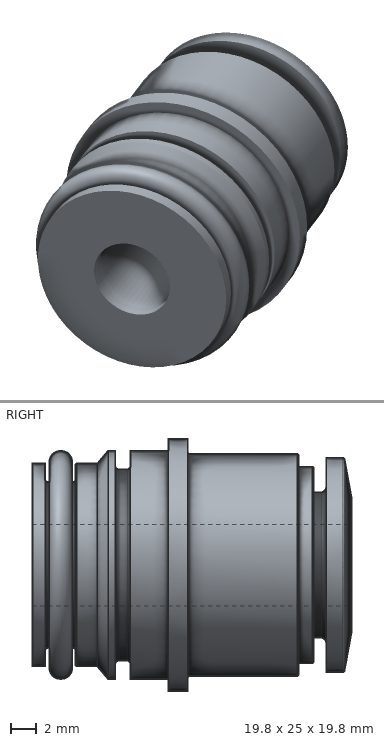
import cadquery as cq

LENGTH = 25.0
EDGE_BREAK = 0.1

BORE_DIA = 6.4
NOSE_DIA = 15.9
SEAL_GROOVE_DIA = 13.0
COLLAR_DIA = 17.9
COLLAR_GROOVE_DIA = 15.0
FLANGE_DIA = 19.75
BODY_DIA = 17.4
SHOULDER_DIA = 15.4
NECK_DIA = 11.4
CAP_DIA = 16.8
CAP_FACE_DIA = 10.5

SEAL_GROOVE_START = 1.0
SEAL_GROOVE_END = 3.38
NOSE_END = 5.1
CONE_END = 5.95
COLLAR_GROOVE_START = 6.5
COLLAR_GROOVE_END = 7.68
FLANGE_START = 10.65
FLANGE_END = 12.18
BODY_END = 20.85
SHOULDER_END = 22.02
CAP_START = 23.0
CAP_RIM_END = 24.42

SEAL_GROOVE_FILLET = 0.2
COLLAR_GROOVE_FILLET = 0.25
BODY_ROOT_FILLET = 0.1
NECK_FILLET = 0.4
CAP_RIM_FILLET = 0.2

O_RING_OUTER_DIA = 17.88
O_RING_WIDTH = 1.8
O_RING_Y = 2.22


def cylinder(dia, start, end):
    """Solid cylinder along Y between two positions."""
    return cq.Workplane("XZ", origin=(0, start, 0)).circle(dia / 2).extrude(start - end)


def cone(start_dia, end_dia, start, end):
    """Solid truncated cone along Y between two positions."""
    outline = [(0, start), (start_dia / 2, start), (end_dia / 2, end), (0, end)]
    return cq.Workplane("XY").polyline(outline).close().revolve(360, (0, 0), (0, 1))


def filleted_core(dia, start, end, radius, fillet_start=True, fillet_end=True):
    """Cylindrical core whose chosen ends flare out with concave fillets."""
    core = dia / 2
    flare = core + radius
    bend = radius * 0.5 ** 0.5
    outline = cq.Workplane("XY").moveTo(0, start)
    if fillet_start:
        outline = outline.lineTo(flare, start).threePointArc(
            (flare - bend, start + radius - bend), (core, start + radius)
        )
    else:
        outline = outline.lineTo(core, start)
    if fillet_end:
        outline = outline.lineTo(core, end - radius).threePointArc(
            (flare - bend, end - radius + bend), (flare, end)
        )
    else:
        outline = outline.lineTo(core, end)
    return outline.lineTo(0, end).close().revolve(360, (0, 0), (0, 1))


def make_nose():
    """Front rim, seal groove and land, then the cone up to the thin collar disc."""
    rim = cylinder(NOSE_DIA, 0, SEAL_GROOVE_START)
    groove = filleted_core(SEAL_GROOVE_DIA, SEAL_GROOVE_START, SEAL_GROOVE_END, SEAL_GROOVE_FILLET)
    land = cylinder(NOSE_DIA, SEAL_GROOVE_END, NOSE_END).faces("<Y").edges().chamfer(EDGE_BREAK)
    flare = cone(NOSE_DIA, COLLAR_DIA, NOSE_END, CONE_END)
    disc = cylinder(COLLAR_DIA, CONE_END, COLLAR_GROOVE_START)
    return rim.union(groove).union(land).union(flare).union(disc)


def make_body():
    """Grooved collar, flange, main body and rear shoulder."""
    groove = filleted_core(
        COLLAR_GROOVE_DIA, COLLAR_GROOVE_START, COLLAR_GROOVE_END, COLLAR_GROOVE_FILLET
    )
    collar = cylinder(COLLAR_DIA, COLLAR_GROOVE_END, FLANGE_START)
    flange = cylinder(FLANGE_DIA, FLANGE_START, FLANGE_END)
    body = filleted_core(BODY_DIA, FLANGE_END, BODY_END, BODY_ROOT_FILLET, fillet_end=False)
    body = body.faces(">Y").edges().chamfer(EDGE_BREAK)
    shoulder = cylinder(SHOULDER_DIA, BODY_END, SHOULDER_END).faces(">Y").edges().chamfer(EDGE_BREAK)
    return groove.union(collar).union(flange).union(body).union(shoulder)


def make_cap():
    """Narrow neck and rear cap with a conical outer face."""
    neck = filleted_core(NECK_DIA, SHOULDER_END, CAP_START, NECK_FILLET, fillet_start=False)
    rim = cylinder(CAP_DIA, CAP_START, CAP_RIM_END)
    face = cone(CAP_DIA, CAP_FACE_DIA, CAP_RIM_END, LENGTH)
    rim_edge = cq.selectors.BoxSelector(
        (-CAP_DIA, CAP_RIM_END - EDGE_BREAK, -CAP_DIA),
        (CAP_DIA, CAP_RIM_END + EDGE_BREAK, CAP_DIA),
    )
    cap = rim.union(face).edges(rim_edge).fillet(CAP_RIM_FILLET)
    return cap.union(neck)


def make_o_ring():
    """Seal ring with a half-round outside and flat flanks reaching the groove floor."""
    inner = SEAL_GROOVE_DIA / 2
    outer = O_RING_OUTER_DIA / 2
    half_width = O_RING_WIDTH / 2
    front = O_RING_Y - half_width
    back = O_RING_Y + half_width
    section = (
        cq.Workplane("XY")
        .moveTo(inner, front)
        .lineTo(outer - half_width, front)
        .threePointArc((outer, O_RING_Y), (outer - half_width, back))
        .lineTo(inner, back)
        .close()
    )
    return section.revolve(360, (0, 0), (0, 1))


bore = cylinder(BORE_DIA, 0, LENGTH)
result = make_nose().union(make_body()).union(make_cap()).union(make_o_ring()).cut(bore)